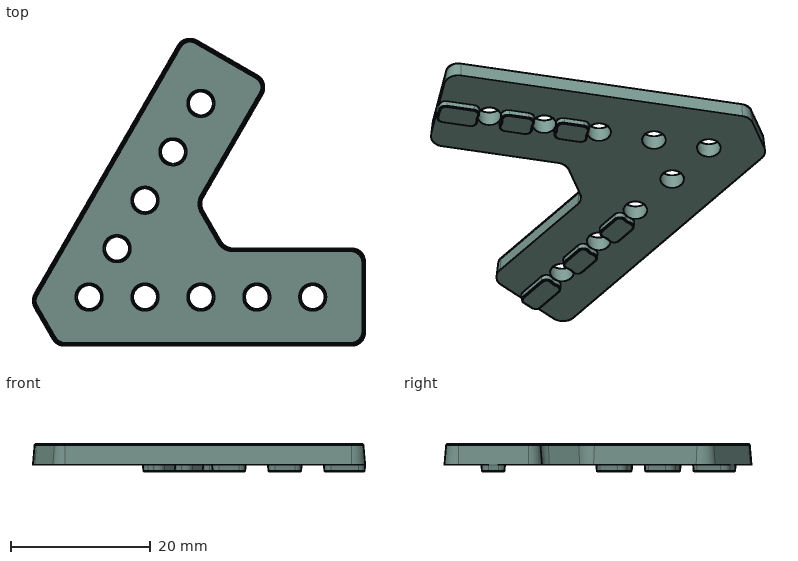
import cadquery as cq
import math

length = 47.55
arm_angle = 60.0
holes_per_arm = 5

plate_thickness = 3.0
arm_half_width = 7.0
end_margin = 7.5
web_distance = 20.3
corner_radius = 2.0
draft_angle = 5.0
top_chamfer = 0.2

hole_top_diameter = 3.95
hole_bottom_diameter = 3.4

pad_height = 1.0
pad_width = 3.42
pad_scallop_radius = 1.65
pad_corner_radius = 1.0
pad_chamfer = 0.15
first_pad = 2

half_angle = math.radians(arm_angle / 2)
heel_reach = (arm_half_width + end_margin - 2 * corner_radius) / (2 * math.cos(half_angle)) + corner_radius
hole_pitch = (length - end_margin - heel_reach) / (holes_per_arm - 1)
arm_length = (holes_per_arm - 1) * hole_pitch + end_margin


def along_arm(distance, offset, angle):
    """Point at a distance along an arm and an offset to its left."""
    turn = math.radians(angle)
    return (
        distance * math.cos(turn) - offset * math.sin(turn),
        distance * math.sin(turn) + offset * math.cos(turn),
    )


def cut_position(cut_distance, offset):
    """Distance along the first arm where a line square to the bisector crosses the given offset."""
    return (cut_distance - offset * math.sin(half_angle)) / math.cos(half_angle)


def make_plate():
    heel = cut_position(-end_margin, -arm_half_width)
    web = cut_position(web_distance, arm_half_width)
    first_arm = [(heel, -arm_half_width), (arm_length, -arm_half_width),
                 (arm_length, arm_half_width), (web, arm_half_width)]
    second_arm = [along_arm(x, -y, arm_angle) for x, y in reversed(first_arm)]
    corners = first_arm + second_arm
    outline = cq.Sketch().polygon(corners + corners[:1]).vertices().fillet(corner_radius)
    plate = cq.Workplane("XY").placeSketch(outline).extrude(plate_thickness, taper=draft_angle)
    return plate.faces(">Z").chamfer(top_chamfer)


def add_scalloped_end(outline, hole_x, side):
    """Hollow pad end around a hole, for a pad on the +1 or -1 side of that hole."""
    corner_y = pad_width / 2 - pad_corner_radius
    corner_x = math.sqrt((pad_scallop_radius + pad_corner_radius) ** 2 - corner_y**2)
    touch_ratio = pad_scallop_radius / (pad_scallop_radius + pad_corner_radius)
    touch_x = corner_x * touch_ratio
    touch_y = corner_y * touch_ratio

    def point(x, y):
        return (hole_x + side * x, side * y)

    return (
        outline.lineTo(*point(corner_x, pad_width / 2))
        .threePointArc(point(corner_x - pad_corner_radius, corner_y), point(touch_x, touch_y))
        .threePointArc(point(pad_scallop_radius, 0), point(touch_x, -touch_y))
        .threePointArc(point(corner_x - pad_corner_radius, -corner_y), point(corner_x, -pad_width / 2))
    )


def add_flat_end(outline, end_x):
    """Straight pad end with rounded corners, facing away from the corner hole."""
    half_width = pad_width / 2
    corner_x = end_x - pad_corner_radius
    corner_y = half_width - pad_corner_radius
    reach = pad_corner_radius * math.sqrt(0.5)
    return (
        outline.lineTo(corner_x, -half_width)
        .threePointArc((corner_x + reach, -corner_y - reach), (end_x, -corner_y))
        .lineTo(end_x, corner_y)
        .threePointArc((corner_x + reach, corner_y + reach), (corner_x, half_width))
    )


def make_pad(index, angle):
    """Pad from the given hole to the next one, or to the end of the arm after the last hole."""
    hole_x = index * hole_pitch
    middle = hole_x + hole_pitch / 2
    outline = add_scalloped_end(cq.Workplane("XY").moveTo(middle, pad_width / 2), hole_x, 1)
    if index == holes_per_arm - 1:
        outline = add_flat_end(outline, arm_length)
    else:
        outline = add_scalloped_end(outline, hole_x + hole_pitch, -1)
    pad = outline.close().extrude(pad_height, taper=draft_angle).faces(">Z").chamfer(pad_chamfer)
    return pad.rotate((0, 0, 0), (1, 0, 0), 180).rotate((0, 0, 0), (0, 0, 1), angle)


def make_hole(center):
    return (
        cq.Workplane("XY")
        .center(*center)
        .circle(hole_bottom_diameter / 2)
        .workplane(offset=plate_thickness)
        .circle(hole_top_diameter / 2)
        .loft()
    )


result = make_plate()
for angle in (0, arm_angle):
    for index in range(holes_per_arm):
        result = result.cut(make_hole(along_arm(index * hole_pitch, 0, angle)))
for angle in (0, arm_angle):
    for index in range(first_pad, holes_per_arm):
        result = result.union(make_pad(index, angle))